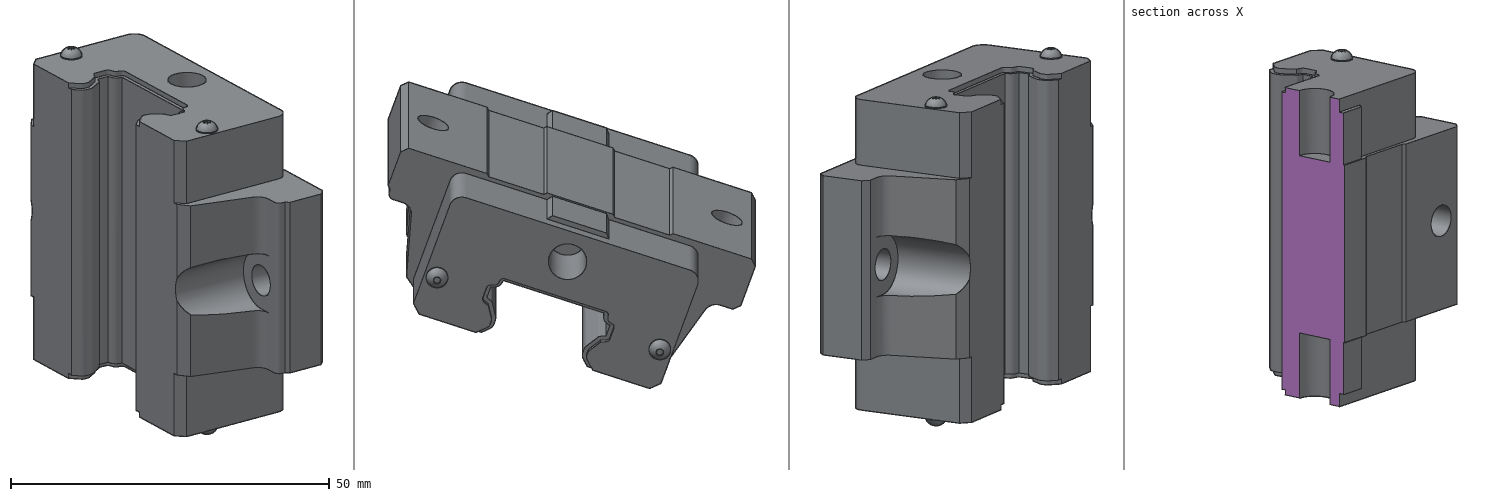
import cadquery as cq
import math

width = 59.0
height = 22.0
body_length = 29.0
cap_to_cap = 50.25
head_height = 1.35
body_start = -body_length / 2
block_start = -cap_to_cap / 2

edge_chamfer = 1.0
flange_underside = 13.05
flank_root_x = 24.85
flank_angle = 15.0
flank_root_radius = 2.05
foot_chamfer_height = 1.4
foot_half_width = 19.95
step_depth = 0.55
step_top = 15.0
step_radius = 1.0

relief_inner_x = 5.5
relief_outer_x = 15.45
relief_depth = 0.4

cap_half_width = 20.6
cap_height = 20.95
cap_top_radius = 2.0
cap_foot_chamfer = 1.4
plate_length = 46.0
plate_top = 21.8
plate_base_half_width = 5.15
plate_top_half_width = 4.5

channel_mouth_half_width = 8.8
nose_half_width = 7.4
nose_top = 2.95
nose_radius = 1.3
shoulder_offset = 1.35
lower_shoulder_half_width = 8.9
lower_shoulder_radius = 0.5
upper_shoulder_half_width = 8.6
upper_shoulder_radius = 1.3
groove_half_width = 9.9
groove_half_height = 0.95
groove_center_y = 6.8
ceiling_y = 9.4
ceiling_half_width = 8.4
mouth_overrun = 1.75
seal_clearance = 0.65
seal_depth = 0.8

mount_x = 24.4
mount_diameter = 5.1
spotface_radius = 4.85

port_y = 16.0
port_diameter = 6.0

screw_x = 18.5
screw_y = 6.8
head_radius = 1.7
head_rim_height = 0.2
socket_corner_diameter = 1.2
socket_depth = 0.25
socket_rim_radius = 0.6
dome_middle_angle = 40.0


def rounded_outline(corners, start_z):
    """Closed outline through (x, y, radius) corners; a zero radius leaves the corner sharp."""
    outline = cq.Workplane("XY").workplane(offset=start_z)
    started = False
    for index, (x, y, radius) in enumerate(corners):
        corner = cq.Vector(x, y, 0)
        stops = [corner]
        if radius > 0:
            before = corners[index - 1]
            after = corners[(index + 1) % len(corners)]
            to_before = (cq.Vector(before[0], before[1], 0) - corner).normalized()
            to_after = (cq.Vector(after[0], after[1], 0) - corner).normalized()
            half_angle = to_before.getAngle(to_after) / 2
            tangent_length = radius / math.tan(half_angle)
            middle_distance = radius / math.sin(half_angle) - radius
            middle = corner + (to_before + to_after).normalized() * middle_distance
            stops = [corner + to_before * tangent_length, middle, corner + to_after * tangent_length]
        first = stops[0].toTuple()[:2]
        outline = outline.lineTo(*first) if started else outline.moveTo(*first)
        started = True
        if radius > 0:
            outline = outline.threePointArc(stops[1].toTuple()[:2], stops[2].toTuple()[:2])
    return outline.close()


def mirrored(corners):
    """The same corners on the other side of the YZ plane, in reverse order."""
    return [(-x, y, radius) for x, y, radius in reversed(corners)]


def flanged_body():
    half = width / 2
    flank_run = (flange_underside - foot_chamfer_height) * math.tan(math.radians(flank_angle))
    flank = [
        (foot_half_width, 0, 0),
        (flank_root_x - flank_run, foot_chamfer_height, 0),
        (flank_root_x, flange_underside, flank_root_radius),
    ]
    upper_edge = [(half, height - edge_chamfer, 0), (half - edge_chamfer, height, 0)]
    chamfered_edge = [
        (half - edge_chamfer, flange_underside, 0),
        (half, flange_underside + edge_chamfer, 0),
    ]
    stepped_edge = [
        (half - step_depth, flange_underside, step_radius),
        (half - step_depth, step_top - step_depth, 0),
        (half, step_top, 0),
    ]
    right_side = flank + stepped_edge + upper_edge
    left_side = mirrored(flank + chamfered_edge + upper_edge)
    body = rounded_outline(right_side + left_side, body_start).extrude(body_length)

    floor = height - relief_depth
    for side in (-1, 1):
        relief = [
            (side * relief_inner_x, height),
            (side * (relief_inner_x + relief_depth), floor),
            (side * (relief_outer_x - relief_depth), floor),
            (side * relief_outer_x, height),
        ]
        body = body.cut(cq.Workplane("XY").polyline(relief).close().extrude(body_length / 2, both=True))
    return body


def cap_block():
    """Both end caps as one block running through the body."""
    right_side = [
        (cap_half_width - cap_foot_chamfer, 0, 0),
        (cap_half_width, cap_foot_chamfer, 0),
        (cap_half_width, cap_height, cap_top_radius),
    ]
    return rounded_outline(right_side + mirrored(right_side), block_start).extrude(cap_to_cap)


def top_plate():
    section = [
        (plate_base_half_width, cap_height),
        (plate_top_half_width, plate_top),
        (-plate_top_half_width, plate_top),
        (-plate_base_half_width, cap_height),
    ]
    return cq.Workplane("XY").polyline(section).close().extrude(plate_length / 2, both=True)


def channel_outline(start_z):
    """Rail channel outline, carried below the feet along its mouth chamfers."""
    mouth_chamfer = channel_mouth_half_width - nose_half_width
    right_side = [
        (channel_mouth_half_width + mouth_overrun, -mouth_overrun, 0),
        (nose_half_width, mouth_chamfer, nose_radius),
        (nose_half_width, nose_top, nose_radius),
        (lower_shoulder_half_width, groove_center_y - shoulder_offset, lower_shoulder_radius),
        (groove_half_width, groove_center_y - groove_half_height, 0),
        (groove_half_width, groove_center_y + groove_half_height, 0),
        (upper_shoulder_half_width, groove_center_y + shoulder_offset, upper_shoulder_radius),
        (ceiling_half_width, ceiling_y, 0),
    ]
    return rounded_outline(right_side + mirrored(right_side), start_z)


def rail_channel():
    """Channel through the full length, wider by the seal clearance at each end."""
    channel = channel_outline(block_start).extrude(cap_to_cap)
    for start_z in (block_start, cap_to_cap / 2 - seal_depth):
        channel = channel.union(channel_outline(start_z).offset2D(seal_clearance).extrude(seal_depth))
    return channel


def mounting_holes():
    """Through holes with spotfaces that open to the outer edge of the flange."""
    from_feet = cq.Workplane("XZ")
    holes = from_feet.pushPoints([(-mount_x, 0), (mount_x, 0)]).circle(mount_diameter / 2).extrude(-height)
    for side in (-1, 1):
        spotface = from_feet.center(side * mount_x, 0).circle(spotface_radius).extrude(-flange_underside)
        run_out = width / 2 - mount_x
        opening = (
            from_feet.center(side * (mount_x + run_out / 2), 0)
            .rect(run_out, 2 * spotface_radius)
            .extrude(-flange_underside)
        )
        holes = holes.union(spotface).union(opening)
    return holes


def grease_ports():
    port_depth = (cap_to_cap - body_length) / 2
    upper_port = (
        cq.Workplane("XY", origin=(0, port_y, cap_to_cap / 2))
        .circle(port_diameter / 2)
        .extrude(-port_depth)
    )
    return upper_port.union(upper_port.mirror("XY"))


def screw_head():
    """Domed head standing on the XY plane, with a hexagon socket pointing along Y."""
    dome_height = head_height - head_rim_height
    center_drop = (head_radius**2 - socket_rim_radius**2 - dome_height**2) / (2 * dome_height)
    dome_radius = math.hypot(head_radius, center_drop)
    center_z = head_rim_height - center_drop
    middle_angle = math.radians(dome_middle_angle)
    dome_middle = (
        dome_radius * math.cos(middle_angle),
        center_z + dome_radius * math.sin(middle_angle),
    )
    head = (
        cq.Workplane("XZ")
        .lineTo(head_radius, 0)
        .lineTo(head_radius, head_rim_height)
        .threePointArc(dome_middle, (socket_rim_radius, head_height))
        .lineTo(0, head_height)
        .close()
        .revolve(360, (0, 0, 0), (0, 1, 0))
    )
    socket = (
        cq.Workplane("XY", origin=(0, 0, head_height - socket_depth))
        .transformed(rotate=(0, 0, 90))
        .polygon(6, socket_corner_diameter)
        .extrude(socket_depth)
    )
    return head.cut(socket)


def cap_screws():
    upper_heads = cq.Workplane("XY")
    for side in (-1, 1):
        upper_heads = upper_heads.add(screw_head().translate((side * screw_x, screw_y, cap_to_cap / 2)))
    upper_heads = upper_heads.combine()
    return upper_heads.union(upper_heads.mirror("XY"))


result = (
    flanged_body()
    .union(cap_block())
    .union(top_plate())
    .cut(rail_channel())
    .cut(mounting_holes())
    .cut(grease_ports())
    .union(cap_screws())
)